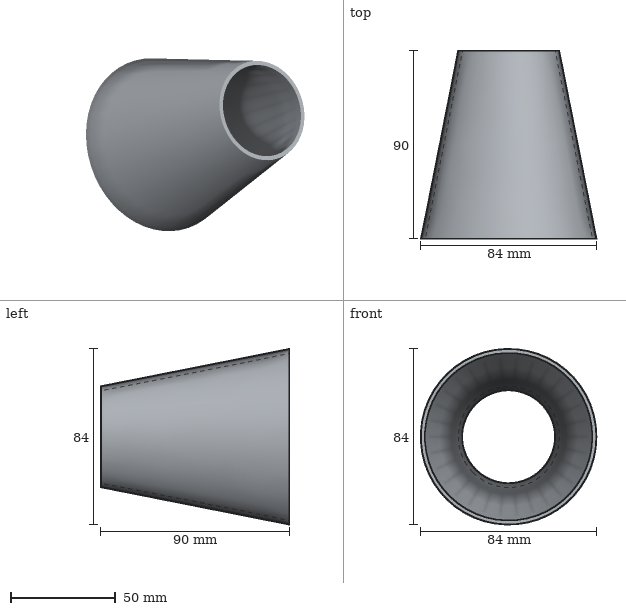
import cadquery as cq

large_outer_diameter = 84.0
small_outer_diameter = 48.3
wall_thickness = 2.0
length = 90.0

large_outer_radius = large_outer_diameter / 2
small_outer_radius = small_outer_diameter / 2
large_inner_radius = large_outer_radius - wall_thickness
small_inner_radius = small_outer_radius - wall_thickness


def make_reducer():
    """Revolve the sloping wall section around the Y axis."""
    wall_section = (
        cq.Workplane("XY")
        .moveTo(large_inner_radius, 0)
        .lineTo(large_outer_radius, 0)
        .lineTo(small_outer_radius, length)
        .lineTo(small_inner_radius, length)
        .close()
    )
    return wall_section.revolve(360, (0, 0, 0), (0, 1, 0))


result = make_reducer()